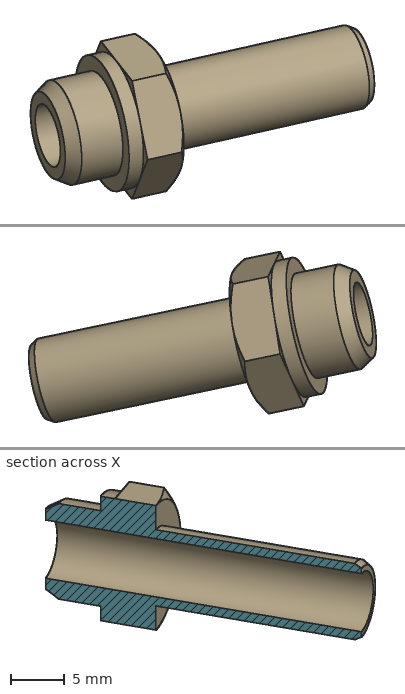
import cadquery as cq
import math

total_length = 31.5
collar_start = 5.48
hex_start = 6.93
hex_end = 11.02

across_flats = 13.0
spigot_diameter = 10.02
collar_diameter = across_flats
tube_diameter = 8.0
bore_diameter = 6.02

spigot_chamfer_length = 1.32
spigot_chamfer_depth = 0.82
tube_chamfer_length = 0.7
tube_chamfer_depth = 0.4
hex_chamfer_drop = 0.65

across_corners = across_flats / math.cos(math.radians(30))


def cylinder(diameter, start, end):
    """Solid cylinder on the Y axis between two Y positions."""
    plane = cq.Workplane("XZ", origin=(0, start, 0))
    return plane.circle(diameter / 2).extrude(start - end)


def revolved(profile):
    """Solid of revolution about Y from (radius, y) points."""
    return cq.Workplane("XY").polyline(profile).close().revolve(360, (0, 0), (0, 1))


def spigot():
    radius = spigot_diameter / 2
    return revolved([
        (0, 0),
        (radius - spigot_chamfer_depth, 0),
        (radius, spigot_chamfer_length),
        (radius, collar_start),
        (0, collar_start),
    ])


def tube():
    radius = tube_diameter / 2
    return revolved([
        (0, hex_end),
        (radius, hex_end),
        (radius, total_length - tube_chamfer_length),
        (radius - tube_chamfer_depth, total_length),
        (0, total_length),
    ])


def hex_nut():
    """Hexagon with corners on the X axis, coned on its tube side."""
    prism = (
        cq.Workplane("XZ", origin=(0, hex_start, 0))
        .polygon(6, across_corners)
        .extrude(hex_start - hex_end)
    )
    corner_radius = across_corners / 2
    envelope = revolved([
        (0, hex_start),
        (corner_radius, hex_start),
        (corner_radius, hex_end - hex_chamfer_drop),
        (across_flats / 2, hex_end),
        (0, hex_end),
    ])
    return prism.intersect(envelope)


collar = cylinder(collar_diameter, collar_start, hex_start)
bore = cylinder(bore_diameter, 0, total_length)

result = spigot().union(collar).union(hex_nut()).union(tube()).cut(bore)